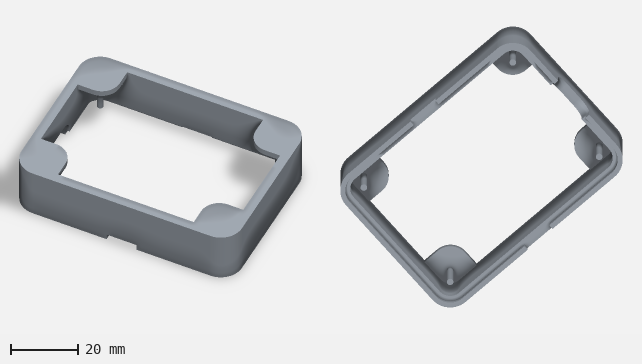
import cadquery as cq

length = 73.0
width = 53.0
height = 17.0
corner_radius = 7.0
wall = 3.0

rim_thickness = wall / 2
rim_height = 2.0

tab_size = 14.0
tab_radius = 6.0
tab_thickness = 2.0
pin_diameter = 2.0
pin_length = 12.0
pin_inset = tab_size / 2

notch_width = 9.85
notch_height = rim_height
arch_width = 14.0
arch_height = 7.0
arch_radius = 4.0


def rounded_block(inset, block_height):
    """Block standing on the base plane, inset evenly from the outer sides."""
    block = cq.Workplane("XY").box(
        length - 2 * inset,
        width - 2 * inset,
        block_height,
        centered=(True, True, False),
    )
    return block.edges("|Z").fillet(corner_radius - inset)


def corner_tab(x_side, y_side):
    """Flat tab in one top corner, rounded where it points into the opening."""
    tab = cq.Workplane("XY").box(tab_size, tab_size, tab_thickness)
    inner_edge = tab.edges("|Z").edges(
        cq.selectors.NearestToPointSelector((-x_side * tab_size / 2, -y_side * tab_size / 2, 0))
    )
    return inner_edge.fillet(tab_radius).translate(
        (
            x_side * (length - tab_size) / 2,
            y_side * (width - tab_size) / 2,
            height - tab_thickness / 2,
        )
    )


def corner_pin(x_side, y_side):
    """Pin hanging from the underside of one corner tab."""
    pin_bottom = height - tab_thickness - pin_length
    return (
        cq.Workplane("XY")
        .workplane(offset=pin_bottom)
        .center(x_side * (length / 2 - pin_inset), y_side * (width / 2 - pin_inset))
        .circle(pin_diameter / 2)
        .extrude(pin_length)
    )


def arch_cutter():
    """Round-shouldered opening through the -X wall only."""
    cutter = cq.Workplane("XY").box(2 * wall, arch_width, arch_height, centered=(True, True, False))
    return cutter.edges("|X and >Z").fillet(arch_radius).translate((-length / 2, 0, 0))


outer = rounded_block(0, height)

frame = outer.cut(rounded_block(wall, height))
frame = frame.cut(rounded_block(rim_thickness, rim_height))

for x_side in (-1, 1):
    for y_side in (-1, 1):
        frame = frame.union(corner_tab(x_side, y_side).intersect(outer))
        frame = frame.union(corner_pin(x_side, y_side))

notch = cq.Workplane("XY").box(notch_width, 2 * width, notch_height, centered=(True, True, False))

result = frame.cut(notch).cut(arch_cutter())